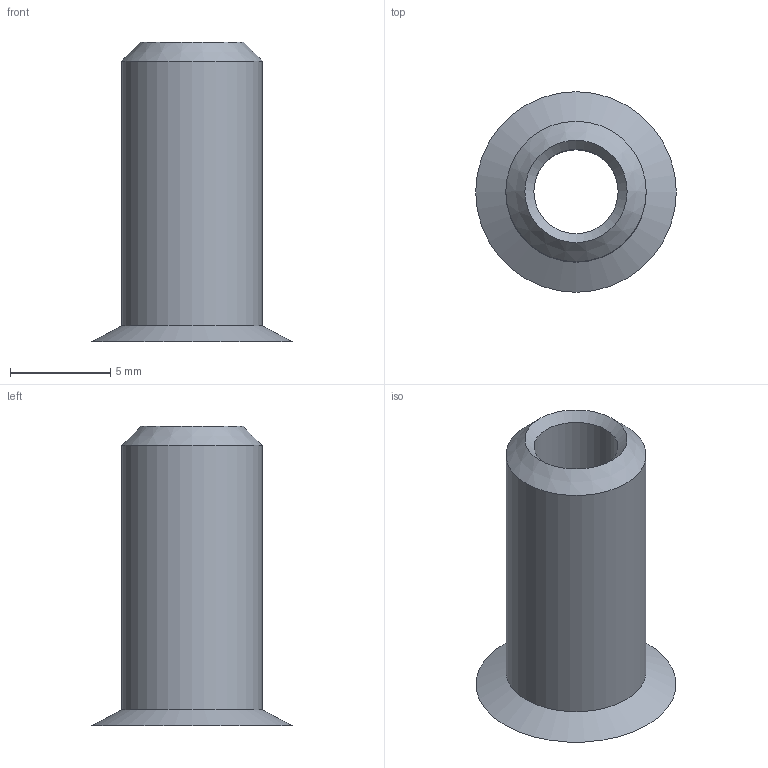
import cadquery as cq

total_height = 14.95
flange_diameter = 10.0
body_diameter = 7.0
bore_diameter = 4.2
rim_diameter = 5.1
flange_height = 0.8

flange_radius = flange_diameter / 2
body_radius = body_diameter / 2
bore_radius = bore_diameter / 2
rim_radius = rim_diameter / 2
bottom_z = -total_height / 2
top_z = bottom_z + total_height
flange_top_z = bottom_z + flange_height
outer_chamfer = body_radius - rim_radius
countersink_depth = rim_radius - bore_radius


def make_body():
    """Conical flange, plain shank and chamfered tip as one solid of revolution."""
    half_outline = [
        (0, bottom_z),
        (flange_radius, bottom_z),
        (body_radius, flange_top_z),
        (body_radius, top_z - outer_chamfer),
        (rim_radius, top_z),
        (0, top_z),
    ]
    return cq.Workplane("XZ").polyline(half_outline).close().revolve(360, (0, 0), (0, 1))


def make_bore():
    """Through bore with a countersunk mouth at the top."""
    half_outline = [
        (0, bottom_z),
        (bore_radius, bottom_z),
        (bore_radius, top_z - countersink_depth),
        (rim_radius, top_z),
        (0, top_z),
    ]
    return cq.Workplane("XZ").polyline(half_outline).close().revolve(360, (0, 0), (0, 1))


result = make_body().cut(make_bore())